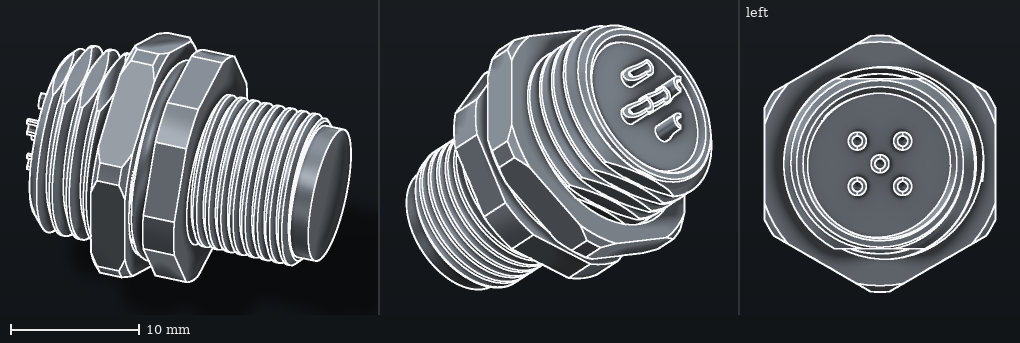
import cadquery as cq
import math


shell_start = 1.8
insert_start = 2.2
nut_start = 7.7
nut_thickness = 2.8
seal_start = nut_start + nut_thickness
seal_width = 1.45
flange_start = seal_start + seal_width
flange_thickness = 2.55
flange_end = flange_start + flange_thickness
front_thread_end = 22.8
shell_end = 24.3

flank_slope = math.tan(math.radians(30))
groove_overrun = 0.03

rear_pitch = 1.4
rear_crest_radius = 7.5
rear_root_radius = 6.5
rear_groove_x = 0.75
rear_flat_half_width = 6.62

front_pitch = 1.0
front_crest_radius = 6.0
front_root_radius = 5.4
front_groove_x = 14.98
front_chamfer = 0.4
nose_radius = 5.25

flange_across_flats = 17.0
flange_corner_radius = 9.0

lip_pitch = 1.0
lip_crest_radius = 5.5
lip_root_radius = 6.0
lip_groove_x = 2.04

nut_across_flats = 18.0
nut_corner_radius = 10.0
nut_chamfer = 0.5
nut_bore_radius = 7.0
nut_root_radius = 8.1
nut_groove_x = 6.69

seal_outer_radius = 8.0
seal_cord_radius = 0.75

pin_radius = 0.7
pin_circle_radius = 2.5
pin_offset = pin_circle_radius * math.sin(math.radians(45))
cup_radius = 0.4
cup_depth = 2.0
cup_tip_angle = 118
scoop_start = 0.45
scoop_radius = 2.0


def cylinder(start, end, radius):
    """Solid cylinder on the X axis."""
    return cq.Workplane("YZ", origin=(start, 0, 0)).circle(radius).extrude(end - start)


def revolved(points):
    """Solid of revolution about X from (x, radius) points."""
    return cq.Workplane("XY").polyline(points).close().revolve(360, (0, 0, 0), (1, 0, 0))


def hexagon(start, thickness, across_flats, turn):
    """Hexagonal prism on X; a turn of 0 puts its flats on the Z sides."""
    corner_diameter = across_flats / math.cos(math.radians(30))
    prism = cq.Workplane("YZ", origin=(start, 0, 0)).polygon(6, corner_diameter).extrude(thickness)
    return prism.rotate((0, 0, 0), (1, 0, 0), turn)


def helical_groove(apex_radius, base_radius, pitch, first_x, turns):
    """V-shaped cutter that winds along X; its apex crosses the -Z side at first_x."""
    half_width = abs(base_radius - apex_radius) * flank_slope
    path = cq.Wire.makeHelix(pitch, turns * pitch, apex_radius)
    profile = cq.Workplane("XZ").polyline([
        (apex_radius, 0),
        (base_radius, half_width),
        (base_radius, -half_width),
    ]).close()
    cutter = profile.sweep(cq.Workplane(obj=path), isFrenet=True)
    return cutter.rotate((0, 0, 0), (0, 1, 0), 90).translate((first_x, 0, 0))


def threaded_rod(crest_radius, root_radius, pitch, first_x, end_x):
    """Long threaded rod, to be trimmed to its final outline."""
    blank = cylinder(first_x - pitch, end_x + 3 * pitch, crest_radius)
    turns = math.ceil((end_x - first_x) / pitch) + 1
    return blank.cut(helical_groove(root_radius, crest_radius + groove_overrun, pitch, first_x, turns))


def threaded_bore(crest_radius, root_radius, pitch, first_x, end_x):
    """Long solid that fills a threaded bore, to be trimmed and cut away."""
    core = cylinder(first_x - pitch, end_x + 3 * pitch, crest_radius)
    turns = math.ceil((end_x - first_x) / pitch) + 1
    return core.union(helical_groove(root_radius, crest_radius - groove_overrun, pitch, first_x, turns))


def rear_thread():
    """Rear thread before its ends are trimmed and its flats are cut."""
    return threaded_rod(rear_crest_radius, rear_root_radius, rear_pitch, rear_groove_x, seal_start)


def rear_section():
    depth = rear_crest_radius - rear_root_radius
    outline = revolved([
        (shell_start, 0),
        (shell_start, rear_root_radius),
        (shell_start + depth, rear_crest_radius),
        (seal_start, rear_crest_radius),
        (seal_start, 0),
    ])
    width = 2 * rear_crest_radius
    flats = cq.Workplane("XY").box(2 * seal_start, width, 2 * rear_flat_half_width)
    return rear_thread().intersect(outline).intersect(flats)


def front_section():
    outline = revolved([
        (flange_end, 0),
        (flange_end, front_crest_radius),
        (front_thread_end - front_chamfer, front_crest_radius),
        (front_thread_end, front_crest_radius - front_chamfer),
        (front_thread_end, 0),
    ])
    rod = threaded_rod(
        front_crest_radius, front_root_radius, front_pitch, front_groove_x - front_pitch, front_thread_end)
    return rod.intersect(outline)


def make_shell():
    neck = cylinder(seal_start, flange_start, rear_root_radius)
    flange = hexagon(flange_start, flange_thickness, flange_across_flats, 0).intersect(
        cylinder(flange_start, flange_end, flange_corner_radius))
    nose = cylinder(front_thread_end, shell_end, nose_radius)
    shell = rear_section().union(neck).union(flange).union(front_section()).union(nose)

    pocket = cylinder(insert_start, flange_start, lip_root_radius)
    mouth = revolved([
        (shell_start, 0),
        (shell_start, lip_root_radius),
        (insert_start, lip_crest_radius),
        (insert_start, 0),
    ])
    first_x = lip_groove_x - lip_pitch
    tap = threaded_bore(lip_crest_radius, lip_root_radius, lip_pitch, first_x, insert_start)
    tap = tap.intersect(cylinder(shell_start, insert_start, 2 * lip_root_radius))
    return shell.cut(pocket).cut(mouth).cut(tap)


def make_nut():
    face_radius = nut_corner_radius - nut_chamfer
    turned_blank = revolved([
        (nut_start, 0),
        (nut_start, face_radius),
        (nut_start + nut_chamfer, nut_corner_radius),
        (seal_start - nut_chamfer, nut_corner_radius),
        (seal_start, face_radius),
        (seal_start, 0),
    ])
    blank = hexagon(nut_start, nut_thickness, nut_across_flats, 30).intersect(turned_blank)

    first_x = nut_groove_x - rear_pitch
    bore = threaded_bore(nut_bore_radius, nut_root_radius, rear_pitch, first_x, seal_start)
    nut = blank.cut(bore)

    return nut.cut(rear_thread())


def make_seal():
    middle = seal_start + seal_width / 2
    centre_radius = seal_outer_radius - seal_cord_radius
    cord = cq.Workplane("XY").moveTo(middle, centre_radius).circle(seal_cord_radius)
    ring = cord.revolve(360, (0, 0, 0), (1, 0, 0))
    return ring.intersect(cylinder(seal_start, flange_start, 2 * seal_outer_radius))


def make_pin(y, z, side):
    """Solder pin whose cup is scooped open towards +Y (side = 1) or -Y (side = -1)."""
    tip_length = cup_radius / math.tan(math.radians(cup_tip_angle / 2))
    cup = revolved([
        (0, 0),
        (0, cup_radius),
        (cup_depth, cup_radius),
        (cup_depth + tip_length, 0),
    ])
    scoop_angle = math.acos(1 - pin_radius / scoop_radius)
    scoop_end = scoop_start + scoop_radius * math.sin(scoop_angle)
    scoop_middle = (
        scoop_start + scoop_radius * math.sin(scoop_angle / 2),
        scoop_radius * (1 - math.cos(scoop_angle / 2)),
    )
    scoop = (
        cq.Workplane("XY", origin=(0, 0, -pin_radius))
        .moveTo(0, 0)
        .lineTo(scoop_start, 0)
        .threePointArc(scoop_middle, (scoop_end, pin_radius))
        .lineTo(0, pin_radius)
        .close()
        .extrude(2 * pin_radius)
    )
    pin = cylinder(0, flange_start, pin_radius).cut(cup).cut(scoop)
    if side < 0:
        pin = pin.rotate((0, 0, 0), (1, 0, 0), 180)
    return pin.translate((0, y, z))


pin_places = [(0, 0, 1)]
for y_side in (1, -1):
    for z_side in (1, -1):
        pin_places.append((y_side * pin_offset, z_side * pin_offset, y_side))


def make_insert():
    insert = cylinder(insert_start, flange_start, lip_root_radius)
    for y, z, _ in pin_places:
        insert = insert.cut(cylinder(insert_start, flange_start, pin_radius).translate((0, y, z)))
    return insert


shell = make_shell()
nut = make_nut()
seal = make_seal()
insert = make_insert()
pins = [make_pin(*place) for place in pin_places]

bodies = [shell, nut, seal, insert] + pins
result = cq.Compound.makeCompound([body.solids().val() for body in bodies])